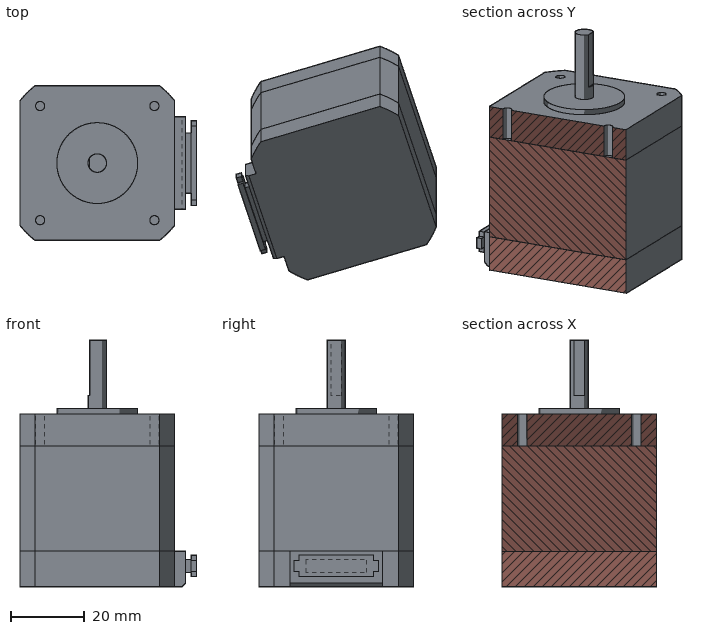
import cadquery as cq

BODY_WIDTH = 42.0
CORNER_RADIUS = 27.0
REAR_CAP_TOP = 9.7
STATOR_TOP = 38.3
BODY_TOP = 47.05

PILOT_DIAMETER = 22.0
PILOT_HEIGHT = 1.5
HOLE_SPACING = 31.0
HOLE_DIAMETER = 2.5

SHAFT_TOP = 67.0
SHAFT_DIAMETER = 5.0
FLAT_DEPTH = 0.5
FLAT_LENGTH = 15.0

COLLAR_WIDTH = 25.2
COLLAR_DEPTH = 3.0
COLLAR_CHAMFER = 1.0
CONNECTOR_Z = 5.7
NECK_WIDTH = 16.4
NECK_HEIGHT = 3.6
NECK_DEPTH = 1.5
FLANGE_DEPTH = 1.5
FLANGE_WIDTH = 23.05
FLANGE_HEIGHT = 5.8
FLANGE_NOTCH_WIDTH = 1.5
FLANGE_NOTCH_HEIGHT = 1.4

BODY_SIDE = BODY_WIDTH / 2
PILOT_TOP = BODY_TOP + PILOT_HEIGHT
COLLAR_FACE = BODY_SIDE + COLLAR_DEPTH
NECK_FACE = COLLAR_FACE + NECK_DEPTH


def body_section(bottom, top):
    """Slice of the square body, with its corners rounded to the turning circle."""
    height = top - bottom
    square = cq.Workplane("XY").workplane(offset=bottom).rect(BODY_WIDTH, BODY_WIDTH).extrude(height)
    turned = cq.Workplane("XY").workplane(offset=bottom).circle(CORNER_RADIUS).extrude(height)
    return square.intersect(turned)


def connector_block(x_start, depth, width, height):
    """Block on the connector axis, running from x_start towards +X."""
    return cq.Workplane("XY").box(depth, width, height, centered=(False, True, True)).translate(
        (x_start, 0, CONNECTOR_Z)
    )


def make_connector():
    collar = (
        cq.Workplane("XY")
        .box(COLLAR_DEPTH, COLLAR_WIDTH, REAR_CAP_TOP, centered=(False, True, False))
        .translate((BODY_SIDE, 0, 0))
        .edges(">X and <Z")
        .chamfer(COLLAR_CHAMFER)
    )
    neck = connector_block(COLLAR_FACE, NECK_DEPTH, NECK_WIDTH, NECK_HEIGHT)
    wide_bar = connector_block(
        NECK_FACE, FLANGE_DEPTH, FLANGE_WIDTH, FLANGE_HEIGHT - 2 * FLANGE_NOTCH_HEIGHT
    )
    tall_bar = connector_block(
        NECK_FACE, FLANGE_DEPTH, FLANGE_WIDTH - 2 * FLANGE_NOTCH_WIDTH, FLANGE_HEIGHT
    )
    return collar.union(neck).union(wide_bar).union(tall_bar)


def make_rear_cap():
    return body_section(0, REAR_CAP_TOP).union(make_connector())


def make_stator():
    return body_section(REAR_CAP_TOP, STATOR_TOP)


def make_front_cap():
    pilot = cq.Workplane("XY").workplane(offset=BODY_TOP).circle(PILOT_DIAMETER / 2).extrude(PILOT_HEIGHT)
    holes = (
        cq.Workplane("XY")
        .workplane(offset=STATOR_TOP)
        .rect(HOLE_SPACING, HOLE_SPACING, forConstruction=True)
        .vertices()
        .circle(HOLE_DIAMETER / 2)
        .extrude(BODY_TOP - STATOR_TOP)
    )
    return body_section(STATOR_TOP, BODY_TOP).union(pilot).cut(holes)


def make_shaft():
    """Shaft standing on the pilot face, with a flat on its -X side."""
    radius = SHAFT_DIAMETER / 2
    rod = cq.Workplane("XY").workplane(offset=PILOT_TOP).circle(radius).extrude(SHAFT_TOP - PILOT_TOP)
    flat = (
        cq.Workplane("XY")
        .box(FLAT_DEPTH, SHAFT_DIAMETER, FLAT_LENGTH, centered=(False, True, False))
        .translate((-radius, 0, SHAFT_TOP - FLAT_LENGTH))
    )
    return rod.cut(flat)


rear_cap = make_rear_cap()
stator = make_stator()
front_cap = make_front_cap()
shaft = make_shaft()

result = cq.Compound.makeCompound([rear_cap.val(), stator.val(), front_cap.val(), shaft.val()])